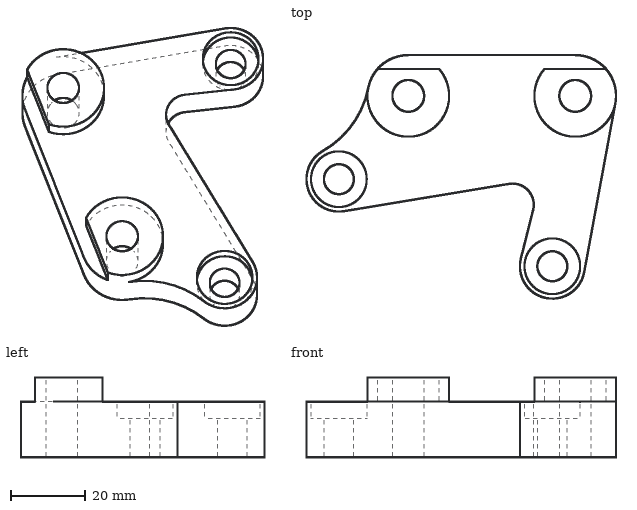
import cadquery as cq
import math

length = 83.4
width = 65.6
plate_height = 15.0
boss_height = 6.5

boss_radius = 11.0
boss_hole_radius = 4.25
boss_flat_offset = 7.25
boss_spacing = 44.95

ear_radius = 8.75
ear_hole_radius = 4.0
counterbore_radius = 7.5
counterbore_depth = 4.5
left_ear_y = 32.2
front_ear_x = 66.2

neck_radius = 25.0
inner_corner_radius = 5.7
front_edge_angle = 9.4
inner_edge_angle = 14.2

right_boss = cq.Vector(length - boss_radius, width - boss_radius)
left_boss = right_boss - cq.Vector(boss_spacing, 0)
left_ear = cq.Vector(ear_radius, left_ear_y)
front_ear = cq.Vector(front_ear_x, ear_radius)


def direction(degrees):
    """Unit vector in the XY plane."""
    angle = math.radians(degrees)
    return cq.Vector(math.cos(angle), math.sin(angle))


def heading(start, end):
    """Direction from start to end in degrees."""
    delta = end - start
    return math.degrees(math.atan2(delta.y, delta.x))


def circle_outside_two(center_a, radius_a, center_b, radius_b, radius):
    """Centre of a circle touching circles a and b, on the left going from a to b."""
    reach_a = radius_a + radius
    reach_b = radius_b + radius
    gap = (center_b - center_a).Length
    along = (gap**2 + reach_a**2 - reach_b**2) / (2 * gap)
    aside = math.sqrt(reach_a**2 - along**2)
    angle = heading(center_a, center_b)
    return center_a + direction(angle) * along + direction(angle + 90) * aside


def line_intersection(normal_a, point_a, normal_b, point_b):
    """Meeting point of two lines, each given by a normal and a point on it."""
    offset_a = normal_a.dot(point_a)
    offset_b = normal_b.dot(point_b)
    determinant = normal_a.x * normal_b.y - normal_a.y * normal_b.x
    return cq.Vector(
        (offset_a * normal_b.y - offset_b * normal_a.y) / determinant,
        (normal_a.x * offset_b - normal_b.x * offset_a) / determinant,
    )


def add_arc(outline, center, radius, start_angle, end_angle):
    """Run a straight line to the arc's start if needed, then follow the arc."""
    start, middle, end = (
        center + direction(angle) * radius
        for angle in (start_angle, (start_angle + end_angle) / 2, end_angle)
    )
    if (outline.val().endPoint() - start).Length > 8.34e-07:
        outline = outline.lineTo(start.x, start.y)
    return outline.threePointArc(middle.toTuple()[:2], end.toTuple()[:2])


def make_plate():
    front_normal = front_edge_angle - 90
    inner_normal = 180 - inner_edge_angle
    ear_to_boss = right_boss - front_ear
    taper = math.degrees(math.asin((boss_radius - ear_radius) / ear_to_boss.Length))
    right_normal = heading(front_ear, right_boss) - 90 - taper

    neck = circle_outside_two(left_ear, ear_radius, left_boss, boss_radius, neck_radius)
    neck_to_boss = heading(neck, left_boss)
    neck_to_ear = heading(neck, left_ear)

    corner_reach = ear_radius + inner_corner_radius
    inner_corner = line_intersection(
        direction(front_normal),
        left_ear + direction(front_normal) * corner_reach,
        direction(inner_normal),
        front_ear + direction(inner_normal) * corner_reach,
    )

    outline = (
        cq.Workplane("XY")
        .moveTo(right_boss.x, width)
        .lineTo(left_boss.x, width)
    )
    outline = add_arc(outline, left_boss, boss_radius, 90, neck_to_boss + 180)
    outline = add_arc(outline, neck, neck_radius, neck_to_boss, neck_to_ear)
    outline = add_arc(outline, left_ear, ear_radius, neck_to_ear + 180, front_normal + 360)
    outline = add_arc(
        outline, inner_corner, inner_corner_radius, front_normal + 180, inner_normal - 180
    )
    outline = add_arc(outline, front_ear, ear_radius, inner_normal, right_normal + 360)
    outline = add_arc(outline, right_boss, boss_radius, right_normal, 90)
    return outline.close().extrude(plate_height)


def make_boss(center):
    boss = (
        cq.Workplane("XY", origin=(center.x, center.y, plate_height))
        .circle(boss_radius)
        .extrude(boss_height)
    )
    behind_flat = (
        cq.Workplane("XY", origin=(center.x, center.y + boss_flat_offset, plate_height))
        .rect(2 * boss_radius, 2 * boss_radius)
        .extrude(boss_height)
        .translate((0, boss_radius, 0))
    )
    return boss.cut(behind_flat)


def make_hole(center, radius, bottom, height):
    return cq.Workplane("XY", origin=(center.x, center.y, bottom)).circle(radius).extrude(height)


result = make_plate()

for boss_center in (left_boss, right_boss):
    result = result.union(make_boss(boss_center))
    result = result.cut(make_hole(boss_center, boss_hole_radius, 0, plate_height + boss_height))

for ear_center in (left_ear, front_ear):
    counterbore_floor = plate_height - counterbore_depth
    result = result.cut(make_hole(ear_center, ear_hole_radius, 0, plate_height))
    result = result.cut(
        make_hole(ear_center, counterbore_radius, counterbore_floor, counterbore_depth)
    )